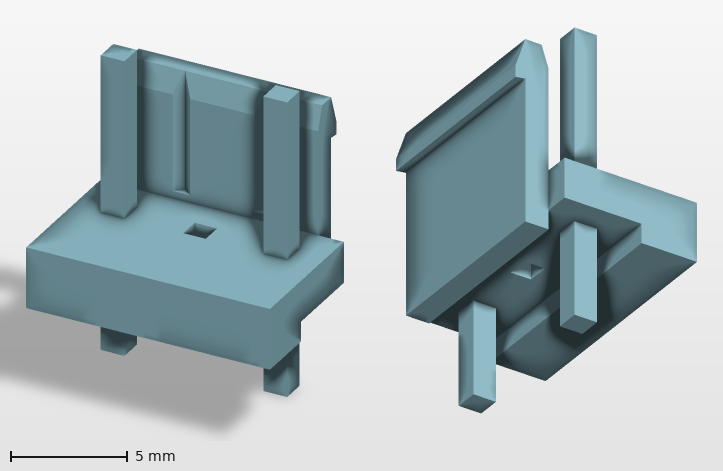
import cadquery as cq

pin_pitch = 3.95
total_height = 14.4

base_width = 11.82
base_depth = 6.8
base_height = 2.97
recess_depth = 3.96
recess_height = 0.96

pin_size = 1.15
pin_tail = 3.73
pin_y = -2.0
hole_width = 1.1
hole_depth = 1.05

wall_width = 9.33
wall_thickness = 1.2
wall_height = 9.15
chamfer_depth = 0.36
chamfer_height = 1.1

hook_reach = 0.5
hook_slope_height = 1.47
hook_tip_height = 0.59
hook_undercut = 0.07

groove_width = 0.86
groove_depth = chamfer_depth
floor_clearance = 0.37
groove_floor = base_height + floor_clearance


def extrude_side_profile(points, width):
    """Extrude a (Y, Z) outline symmetrically along X."""
    return cq.Workplane("YZ").polyline(points).close().extrude(width / 2, both=True)


def make_base():
    """Base block stepped underneath, with the empty middle pin hole."""
    base = extrude_side_profile(
        [
            (0, base_height),
            (-base_depth, base_height),
            (-base_depth, 0),
            (-recess_depth, 0),
            (-recess_depth, recess_height),
            (0, recess_height),
        ],
        base_width,
    )
    hole = (
        cq.Workplane("XY")
        .center(0, pin_y)
        .rect(hole_width, hole_depth)
        .extrude(base_height)
    )
    return base.cut(hole)


def make_groove(x):
    """V-shaped cutter for the front face of the wall."""
    half_width = groove_width / 2
    return (
        cq.Workplane("XY", origin=(x, 0, groove_floor))
        .polyline([(-half_width, 0), (half_width, 0), (0, groove_depth)])
        .close()
        .extrude(wall_height - groove_floor)
    )


def make_wall():
    """Latch wall with a hooked top and two V-grooves between the pin positions."""
    hook_y = wall_thickness + hook_reach
    tip_top = wall_height - hook_slope_height
    tip_bottom = tip_top - hook_tip_height
    wall = extrude_side_profile(
        [
            (0, 0),
            (wall_thickness, 0),
            (wall_thickness, tip_bottom + hook_undercut),
            (hook_y, tip_bottom),
            (hook_y, tip_top),
            (wall_thickness, wall_height),
            (chamfer_depth, wall_height),
            (0, wall_height - chamfer_height),
        ],
        wall_width,
    )
    for side in (-1, 1):
        wall = wall.cut(make_groove(side * pin_pitch / 2))
    return wall


def make_pin(x):
    """Square pin running through the base."""
    return (
        cq.Workplane("XY", origin=(x, pin_y, -pin_tail))
        .rect(pin_size, pin_size)
        .extrude(total_height)
    )


result = make_base().union(make_wall())
for side in (-1, 1):
    result = result.union(make_pin(side * pin_pitch))